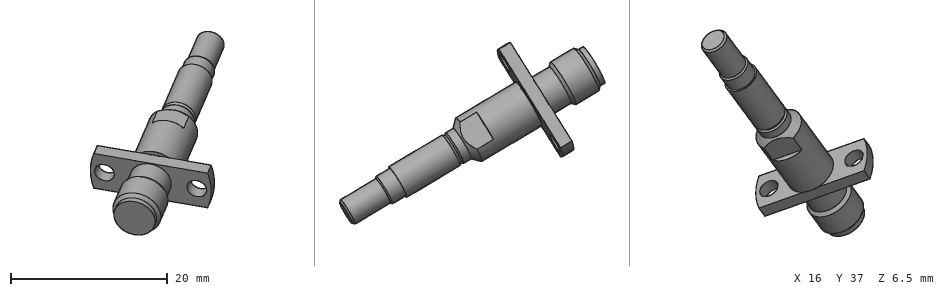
import cadquery as cq


tail_dia = 3.65
collar_dia = 4.1
barrel_dia = 4.55
groove_dia = 4.1
body_dia = 6.5
relief_dia = 5.35
connector_neck_dia = 5.45
nut_dia = 6.35

flange_thickness = 1.7
flange_width = 15.96
flange_flat_width = 15.05
flange_height = 5.7
hole_dia = 2.6
hole_spacing = 12.2

tip_y = -7.85
nut_front_y = tip_y + 0.7
nut_rear_y = -2.8

body_front_y = flange_thickness + 0.2
flats_front_y = 8.4
body_rear_y = 10.85
barrel_front_y = body_rear_y + (body_dia - barrel_dia) / 2
groove_front_y = 12.95
groove_floor_y = groove_front_y + (barrel_dia - groove_dia) / 2
groove_rear_y = 13.5
barrel_rear_y = 21.45
collar_rear_y = 23.65
tail_end_y = 29.15

tail_chamfer = 0.25
collar_chamfer = 0.2
nut_chamfer = (nut_dia - connector_neck_dia) / 2
wrench_flat_width = 5.0


def turned_body():
    """Solid of revolution about Y, listed as (diameter, y) from tip to tail."""
    profile = [
        (connector_neck_dia, tip_y),
        (connector_neck_dia, nut_front_y),
        (nut_dia, nut_front_y + nut_chamfer),
        (nut_dia, nut_rear_y - nut_chamfer),
        (connector_neck_dia, nut_rear_y),
        (connector_neck_dia, 0),
        (relief_dia, 0),
        (relief_dia, body_front_y),
        (body_dia, body_front_y),
        (body_dia, body_rear_y),
        (barrel_dia, barrel_front_y),
        (barrel_dia, groove_front_y),
        (groove_dia, groove_floor_y),
        (barrel_dia, groove_rear_y),
        (barrel_dia, barrel_rear_y),
        (collar_dia, barrel_rear_y),
        (collar_dia, collar_rear_y - collar_chamfer),
        (tail_dia, collar_rear_y),
        (tail_dia, tail_end_y - tail_chamfer),
        (tail_dia - 2 * tail_chamfer, tail_end_y),
    ]
    outline = [(0, tip_y)] + [(dia / 2, y) for dia, y in profile] + [(0, tail_end_y)]
    return cq.Workplane("XY").polyline(outline).close().revolve(360, (0, 0, 0), (0, 1, 0))


def cut_wrench_flats(body):
    """Mill two parallel flats, facing +Z and -Z, into the rear of the large body."""
    flats_length = barrel_front_y - flats_front_y
    flat_depth = (body_dia - wrench_flat_width) / 2
    for side in (1, -1):
        cutter = cq.Workplane("XY").box(body_dia, flats_length, flat_depth).translate((
            0,
            flats_front_y + flats_length / 2,
            side * (wrench_flat_width + flat_depth) / 2,
        ))
        body = body.cut(cutter)
    return body


def flange():
    """Two-hole flange with straight long edges and arched ends."""
    corner_x = flange_flat_width / 2
    end_x = flange_width / 2
    edge_z = flange_height / 2
    return (
        cq.Workplane("XZ")
        .moveTo(-corner_x, -edge_z)
        .lineTo(corner_x, -edge_z)
        .threePointArc((end_x, 0), (corner_x, edge_z))
        .lineTo(-corner_x, edge_z)
        .threePointArc((-end_x, 0), (-corner_x, -edge_z))
        .close()
        .pushPoints([(-hole_spacing / 2, 0), (hole_spacing / 2, 0)])
        .circle(hole_dia / 2)
        .extrude(-flange_thickness)
    )


result = cut_wrench_flats(turned_body()).union(flange())